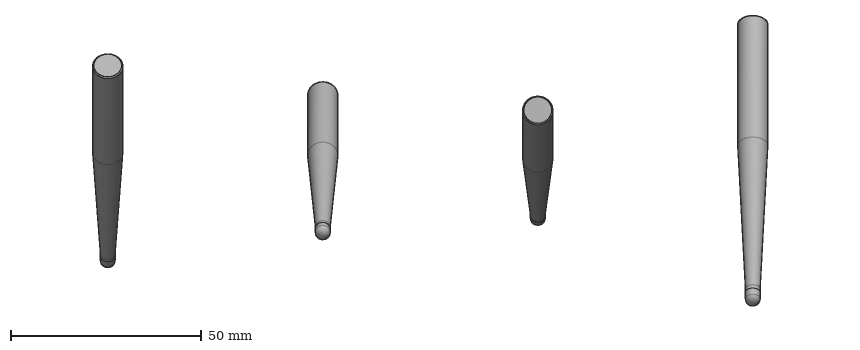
import cadquery as cq

total_length = 90.0
shank_diameter = 8.0
tip_diameter = 4.0
cutter_length = 4.0
neck_length = 1.1
shank_length = 39.15
end_chamfer = 0.4

shank_radius = shank_diameter / 2
tip_radius = tip_diameter / 2
neck_top = cutter_length + neck_length
shank_bottom = total_length - shank_length


def make_cutter():
    """Cylindrical cutter with a hemispherical nose."""
    cylinder = cq.Workplane("XY").workplane(offset=tip_radius).circle(tip_radius)
    cylinder = cylinder.extrude(cutter_length - tip_radius)
    ball = cq.Workplane("XY").sphere(tip_radius).translate((0, 0, tip_radius))
    return cylinder.union(ball)


def make_holder():
    """Short straight neck, long taper and chamfered cylindrical shank."""
    profile = (
        cq.Workplane("XZ")
        .moveTo(0, cutter_length)
        .lineTo(tip_radius, cutter_length)
        .lineTo(tip_radius, neck_top)
        .lineTo(shank_radius, shank_bottom)
        .lineTo(shank_radius, total_length)
        .lineTo(0, total_length)
        .close()
    )
    holder = profile.revolve(360, (0, 0, 0), (0, 1, 0))
    return holder.faces(">Z").edges().chamfer(end_chamfer)


cutter = make_cutter()
holder = make_holder()

result = cq.Compound.makeCompound([cutter.val(), holder.val()])